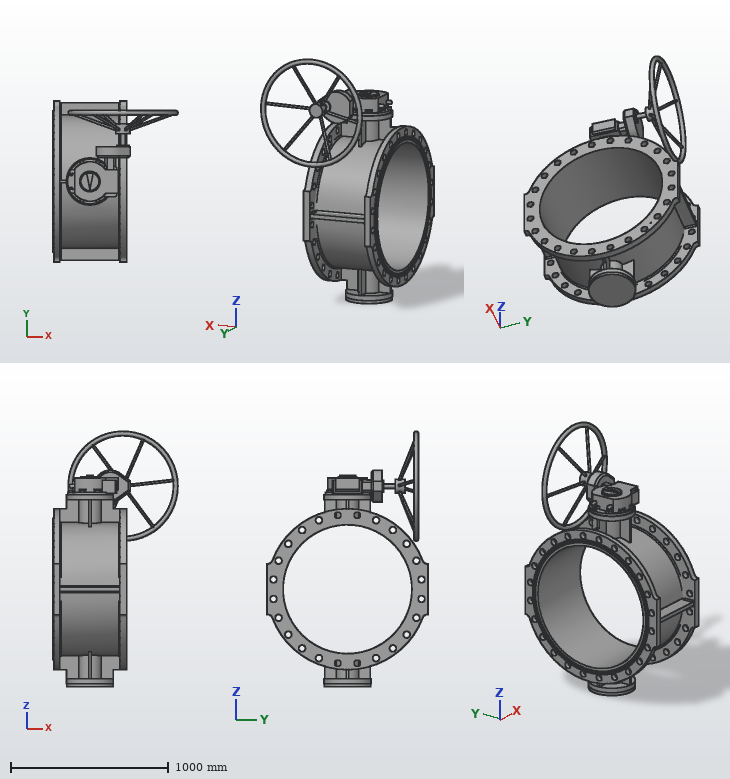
import cadquery as cq
import math


face_to_face = 470.0
half_length = face_to_face / 2
raised_face_height = 5.0
raised_face_d = 901.0
bore_d = 819.0
wall_r = 425.0
flange_d = 1025.0
flange_r = flange_d / 2
flange_inner_x = 191.0
web_fillet = 9.0

foot_half_height = 162.0
foot_fillet = 30.0
bolt_circle_d = 950.0
bolt_hole_d = 41.0
bolt_count = 24

groove_radii = (429.0, 436.0, 443.0)
groove_width = 3.0
groove_depth = 2.0

side_rib_thickness = 26.0
side_rib_half_width = 502.0
side_rib_fillet = 10.0
neck_d = 143.0
neck_rib_thickness = 16.0
neck_rib_half_width = 146.0
stem_plate_d = 300.0
stem_plate_near = 570.0
stem_plate_far = 601.0
bottom_cover_z = -621.0
bottom_cover_d = 298.0

mounting_ring_d = 285.0
gearbox_base_z = 617.0
gearbox_top_z = 709.0
gearbox_r = 126.0
gearbox_flat_x = -97.0
gearbox_end_x = 181.0
gearbox_arm_half_width = 75.0
arm_base_z = 610.0
arm_chamfer = 26.0
pad_start_x = 80.0
pad_end_x = 170.0
pad_half_width = 98.0
pad_top_z = 694.0
pad_chamfer = 10.0
screw_count = 8
screw_circle_r = 130.0
screw_d = 25.0
screw_height = 12.0
screw_pocket_inner_r = 100.0
screw_pocket_width = 46.0
screw_pocket_height = 19.0
stop_screw_d = 25.0
stop_screw_y = 62.0
stop_screw_length = 22.0

indicator_d = 116.0
indicator_recess_d = 130.0
indicator_recess_depth = 3.0
indicator_z = 717.0
pointer_top_z = 725.0
pointer_half_width = 21.0
pointer_tail_y = 54.0
pointer_tip_y = -50.0

wheel_d = 700.0
wheel_rim_d = 30.0
wheel_x = 210.68
wheel_y = 437.0
wheel_z = 656.0
rim_centre_r = (wheel_d - wheel_rim_d) / 2
hub_d = 90.0
hub_start_y = 303.0
hub_end_y = 366.0
spoke_d = 15.0
spoke_count = 6
spoke_angle = 6.5
spoke_root_r = 35.0
spoke_root_y = 328.0
shaft_d = 30.0

housing_x = 130.0
housing_r = 102.0
housing_flat_x = 40.0
housing_end_x = 258.0
housing_end_half_height = 32.0
housing_near_y = 152.0
housing_far_y = 221.0
housing_chamfer = 13.0
collar_d = 78.0
collar_thickness = 9.0
link_width = 71.0
link_height = 79.0
link_chamfer = 15.0


def disc_x(diameter, x_start, x_end):
    """Solid disc about the flow axis."""
    return cq.Workplane("YZ", origin=(x_start, 0, 0)).circle(diameter / 2).extrude(x_end - x_start)


def disc_y(diameter, x, z, y_start, y_end):
    """Solid disc about a line along Y."""
    plane = cq.Plane(origin=(x, y_start, z), xDir=(1, 0, 0), normal=(0, 1, 0))
    return cq.Workplane(plane).circle(diameter / 2).extrude(y_end - y_start)


def disc_z(diameter, z_start, z_end):
    """Solid disc about the stem axis."""
    return cq.Workplane("XY", origin=(0, 0, z_start)).circle(diameter / 2).extrude(z_end - z_start)


def block(x_range, y_range, z_range):
    """Rectangular block given by its limits along each axis."""
    lows, highs = zip(x_range, y_range, z_range)
    sizes = [high - low for low, high in zip(lows, highs)]
    return cq.Workplane("XY").box(*sizes, centered=False).translate(lows)


def flange(x_start, x_end):
    """Round flange with a square foot on each side and fillets where foot and rim meet."""
    thickness = x_end - x_start
    face = cq.Workplane("YZ", origin=(x_start, 0, 0))
    fillet_z = foot_half_height + foot_fillet
    fillet_y = math.sqrt((flange_r + foot_fillet) ** 2 - fillet_z**2)
    rim_share = flange_r / (flange_r + foot_fillet)
    corner_outline = [
        (0, 0),
        (fillet_y * rim_share, fillet_z * rim_share),
        (fillet_y, fillet_z),
        (fillet_y, 0),
    ]
    corner = face.polyline(corner_outline).close().extrude(thickness)
    corner = corner.cut(face.center(fillet_y, fillet_z).circle(foot_fillet).extrude(thickness))
    half_web = corner.union(corner.mirror("XY"))
    plate = disc_x(flange_d, x_start, x_end)
    plate = plate.union(face.rect(flange_d, 2 * foot_half_height).extrude(thickness))
    return plate.union(half_web).union(half_web.mirror("XZ"))


def bolt_holes():
    """Bolt holes through both flanges, straddling the axes."""
    half_pitch = 180 / bolt_count
    flange_zones = (
        (-half_length, -flange_inner_x),
        (flange_inner_x, half_length),
    )
    holes = None
    for x_start, x_end in flange_zones:
        group = (
            cq.Workplane("YZ", origin=(x_start, 0, 0))
            .polarArray(bolt_circle_d / 2, half_pitch, 360, bolt_count)
            .circle(bolt_hole_d / 2)
            .extrude(x_end - x_start)
        )
        holes = group if holes is None else holes.union(group)
    return holes


def rib_end_fillets():
    """Concave fillets where the flat sides of the side ribs meet the flanges."""
    half = side_rib_thickness / 2
    upper = (
        cq.Workplane("XZ", origin=(0, side_rib_half_width, 0))
        .moveTo(flange_inner_x, 0)
        .lineTo(flange_inner_x, half + web_fillet)
        .radiusArc((flange_inner_x - web_fillet, half), -web_fillet)
        .lineTo(flange_inner_x - web_fillet, 0)
        .close()
        .extrude(2 * side_rib_half_width)
    )
    at_flange = upper.union(upper.mirror("XY"))
    return at_flange.union(at_flange.mirror("YZ"))


def side_ribs():
    """Horizontal rib on each side, running from flange to flange, filleted onto the wall."""
    half = side_rib_thickness / 2
    centre_z = half + side_rib_fillet
    centre_y = math.sqrt((wall_r + side_rib_fillet) ** 2 - centre_z**2)
    rib = block(
        (-flange_inner_x, flange_inner_x),
        (-side_rib_half_width, side_rib_half_width),
        (-half, half),
    )
    root = block((-flange_inner_x, flange_inner_x), (-centre_y, centre_y), (-centre_z, centre_z))
    for side_y in (-centre_y, centre_y):
        for side_z in (-centre_z, centre_z):
            groove = (
                cq.Workplane("YZ", origin=(-flange_inner_x, side_y, side_z))
                .circle(side_rib_fillet)
                .extrude(2 * flange_inner_x)
            )
            root = root.cut(groove)
    return rib.union(root).union(rib_end_fillets())


def stem_neck(direction):
    """Round neck with crossed ribs and a round plate; direction is +1 above, -1 below."""
    neck = disc_z(neck_d, 0, stem_plate_near)
    half = neck_rib_thickness / 2
    along = block(
        (-stem_plate_d / 2, stem_plate_d / 2), (-half, half), (0, stem_plate_near)
    )
    between_flanges = block((-flange_inner_x, flange_inner_x), (-half, half), (0, flange_r))
    across = block(
        (-half, half), (-neck_rib_half_width, neck_rib_half_width), (0, stem_plate_near)
    )
    plate = disc_z(stem_plate_d, stem_plate_near, stem_plate_far)
    neck = neck.union(along).union(between_flanges).union(across).union(plate)
    return neck if direction > 0 else neck.mirror("XY")


def wall_fillet(direction):
    """Concave fillet ring between the wall and a flange; direction is the flange side."""
    return (
        cq.Workplane("XY")
        .moveTo(direction * flange_inner_x, wall_r)
        .lineTo(direction * flange_inner_x, wall_r + web_fillet)
        .radiusArc((direction * (flange_inner_x - web_fillet), wall_r), direction * web_fillet)
        .close()
        .revolve(360, (0, 0, 0), (1, 0, 0))
    )


def valve_body():
    """Flanged body with ribs, necks, bore, sealing grooves and bolt holes."""
    body = disc_x(2 * wall_r, -flange_inner_x, flange_inner_x)
    body = body.union(flange(-half_length + raised_face_height, -flange_inner_x))
    body = body.union(flange(flange_inner_x, half_length))
    body = body.union(disc_x(raised_face_d, -half_length, -flange_inner_x))
    for direction in (-1, 1):
        body = body.union(wall_fillet(direction))
        body = body.union(stem_neck(direction))
    body = body.union(side_ribs())
    body = body.union(disc_z(bottom_cover_d, bottom_cover_z, -stem_plate_far))
    body = body.cut(disc_x(bore_d, -half_length, half_length))
    for radius in groove_radii:
        groove = (
            cq.Workplane("YZ", origin=(-half_length, 0, 0))
            .circle(radius + groove_width)
            .circle(radius)
            .extrude(groove_depth)
        )
        body = body.cut(groove)
    return body.cut(bolt_holes())


def gearbox_housing():
    """Round housing with a flat on the -X side and an arm towards +X."""
    housing = disc_z(2 * gearbox_r, gearbox_base_z, gearbox_top_z)
    keep = block(
        (gearbox_flat_x, gearbox_r), (-gearbox_r, gearbox_r), (gearbox_base_z, gearbox_top_z)
    )
    housing = housing.intersect(keep)
    arm = block(
        (0, gearbox_end_x),
        (-gearbox_arm_half_width, gearbox_arm_half_width),
        (arm_base_z, gearbox_top_z),
    )
    arm = arm.faces(">X").edges("<Z").chamfer(arm_chamfer)
    pads = block((pad_start_x, pad_end_x), (-pad_half_width, pad_half_width), (arm_base_z, pad_top_z))
    pads = pads.faces(">X").edges("|Z").chamfer(pad_chamfer)
    return housing.union(arm).union(pads)


def screw_angles():
    """Angles of the screws around the mounting ring, straddling the axes."""
    pitch = 360 / screw_count
    return [pitch * (index + 0.5) for index in range(screw_count)]


def gearbox():
    """Gearbox with mounting ring, screws in pockets, stop screws and indicator."""
    box = gearbox_housing()
    pocket = block(
        (screw_pocket_inner_r, mounting_ring_d / 2),
        (-screw_pocket_width / 2, screw_pocket_width / 2),
        (gearbox_base_z, gearbox_base_z + screw_pocket_height),
    )
    screw = disc_z(screw_d, gearbox_base_z, gearbox_base_z + screw_height)
    screw = screw.translate((screw_circle_r, 0, 0))
    axis_end = (0, 0, 1)
    for angle in screw_angles():
        box = box.cut(pocket.rotate((0, 0, 0), axis_end, angle))
    box = box.union(disc_z(mounting_ring_d, stem_plate_far, gearbox_base_z))
    for angle in screw_angles():
        box = box.union(screw.rotate((0, 0, 0), axis_end, angle))
    tip_x = gearbox_flat_x - stop_screw_length
    for y in (-stop_screw_y, stop_screw_y):
        shank = cq.Workplane("YZ", origin=(tip_x, y, wheel_z)).circle(stop_screw_d / 2)
        dome = cq.Workplane("XY").sphere(stop_screw_d / 2).translate((tip_x, y, wheel_z))
        box = box.union(shank.extrude(stop_screw_length)).union(dome)
    recess = disc_z(indicator_recess_d, gearbox_top_z - indicator_recess_depth, gearbox_top_z)
    pointer = (
        cq.Workplane("XY", origin=(0, 0, indicator_z))
        .polyline(
            [
                (-pointer_half_width, pointer_tail_y),
                (pointer_half_width, pointer_tail_y),
                (0, pointer_tip_y),
            ]
        )
        .close()
        .extrude(pointer_top_z - indicator_z)
    )
    indicator = disc_z(indicator_d, gearbox_top_z - indicator_recess_depth, indicator_z)
    return box.cut(recess).union(indicator).union(pointer)


def spur_outline(y):
    """Teardrop outline at the given Y: a large arc cut flat at -X, tapering to a flat end at +X."""
    reach = housing_end_x - housing_x
    corner_distance = math.hypot(reach, housing_end_half_height)
    tangent = math.acos(housing_r / corner_distance) + math.atan2(housing_end_half_height, reach)
    tangent_x = housing_x + housing_r * math.cos(tangent)
    tangent_z = housing_r * math.sin(tangent)
    flat_half_height = math.sqrt(housing_r**2 - (housing_x - housing_flat_x) ** 2)
    plane = cq.Plane(origin=(0, y, wheel_z), xDir=(1, 0, 0), normal=(0, -1, 0))
    return (
        cq.Workplane(plane)
        .moveTo(housing_flat_x, -flat_half_height)
        .lineTo(housing_flat_x, flat_half_height)
        .threePointArc((housing_x, housing_r), (tangent_x, tangent_z))
        .lineTo(housing_end_x, housing_end_half_height)
        .lineTo(housing_end_x, -housing_end_half_height)
        .lineTo(tangent_x, -tangent_z)
        .threePointArc((housing_x, -housing_r), (housing_flat_x, -flat_half_height))
        .close()
    )


def spur_housing():
    """Gear housing with a bevelled near side, the link to the gearbox and the shaft collar."""
    bevel_y = housing_near_y + housing_chamfer
    housing = spur_outline(housing_far_y).extrude(housing_far_y - bevel_y)
    housing = housing.union(spur_outline(bevel_y).extrude(housing_chamfer, taper=45))
    link = block(
        (housing_x - link_width / 2, housing_x + link_width / 2),
        (0, housing_near_y),
        (wheel_z - link_height / 2, wheel_z + link_height / 2),
    )
    link = link.edges("|Y").chamfer(link_chamfer)
    collar = disc_y(collar_d, wheel_x, wheel_z, housing_far_y, housing_far_y + collar_thickness)
    return housing.union(link).union(collar)


def handwheel():
    """Rim, hub, shaft and dished spokes."""
    rim = (
        cq.Workplane("XY", origin=(wheel_x, wheel_y, wheel_z))
        .center(rim_centre_r, 0)
        .circle(wheel_rim_d / 2)
        .revolve(360, (-rim_centre_r, 0), (-rim_centre_r, 1))
    )
    wheel = disc_y(hub_d, wheel_x, wheel_z, hub_start_y, hub_end_y)
    wheel = wheel.union(disc_y(shaft_d, wheel_x, wheel_z, housing_far_y, hub_start_y))
    run = rim_centre_r - spoke_root_r
    rise = wheel_y - spoke_root_y
    for index in range(spoke_count):
        angle = math.radians(spoke_angle + index * 360 / spoke_count)
        across = (math.cos(angle), math.sin(angle))
        root = cq.Vector(
            wheel_x + spoke_root_r * across[0], spoke_root_y, wheel_z + spoke_root_r * across[1]
        )
        along = cq.Vector(run * across[0], rise, run * across[1])
        spoke = cq.Solid.makeCylinder(spoke_d / 2, along.Length, root, along)
        wheel = wheel.union(cq.Workplane("XY").add(spoke))
    return wheel.union(rim, clean=False)


stationary_parts = valve_body().union(gearbox()).union(spur_housing())
result = stationary_parts.union(handwheel(), clean=False)